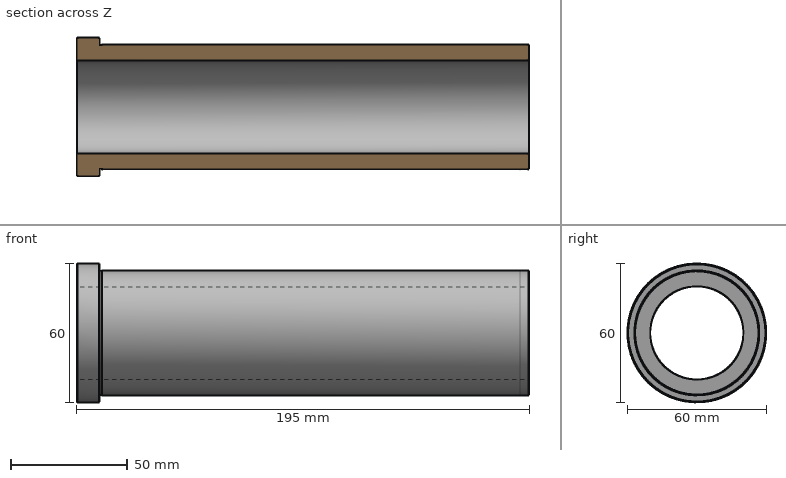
import cadquery as cq

total_length = 195.0
bore_diameter = 40.0
bore_chamfer = 0.2

flange_diameter = 60.0
flange_length = 10.0
flange_chamfer = 0.5

body_diameter = 54.0
end_chamfer = 0.5

relief_width = 1.0
relief_depth = 0.2

land_length = 4.0


def flange_outline():
    """Points (X, radius) over the flange rim, chamfered on both sides."""
    rim_radius = flange_diameter / 2
    return [
        (0, rim_radius - flange_chamfer),
        (flange_chamfer, rim_radius),
        (flange_length - flange_chamfer, rim_radius),
        (flange_length, rim_radius - flange_chamfer),
    ]


def relief_outline():
    """Points along the groove floor and up its 45 degree runout to the body."""
    body_radius = body_diameter / 2
    floor_radius = body_radius - relief_depth
    runout_end = flange_length + relief_width
    return [
        (flange_length, floor_radius),
        (runout_end - relief_depth, floor_radius),
        (runout_end, body_radius),
    ]


def body_outline():
    """Points along the body, past the start of the end land, to the chamfered end."""
    body_radius = body_diameter / 2
    return [
        (total_length - land_length, body_radius),
        (total_length - end_chamfer, body_radius),
        (total_length, body_radius - end_chamfer),
    ]


def bore_outline():
    """Points back along the bore to its chamfered mouth in the flange face."""
    bore_radius = bore_diameter / 2
    return [
        (total_length, bore_radius),
        (bore_chamfer, bore_radius),
        (0, bore_radius + bore_chamfer),
    ]


half_section = flange_outline() + relief_outline() + body_outline() + bore_outline()

result = (
    cq.Workplane("XY")
    .polyline(half_section)
    .close()
    .revolve(360, (0, 0, 0), (1, 0, 0), clean=False)
)